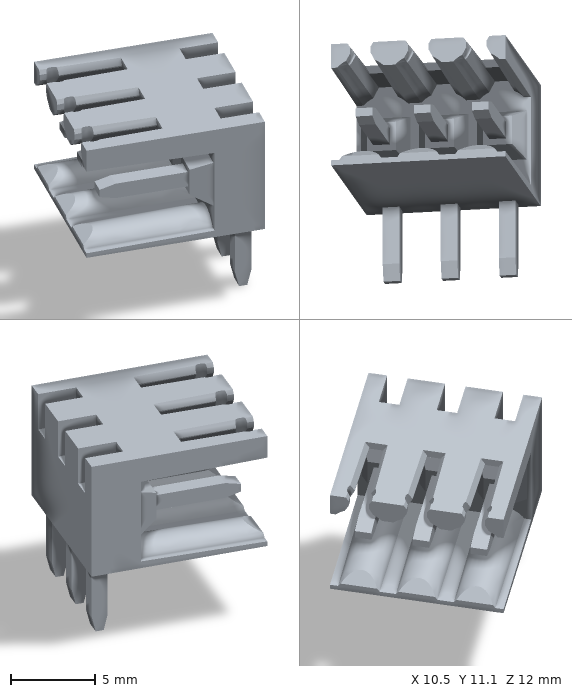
import cadquery as cq
import math


PIN_COUNT = 3
PITCH = 3.5
WIDTH = PIN_COUNT * PITCH
DEPTH = 11.05
HEIGHT = 7.46
OVERALL_HEIGHT = 11.95
PIN_CENTRES = [(i - (PIN_COUNT - 1) / 2) * PITCH for i in range(PIN_COUNT)]

DRAFT_ANGLE = 1
CAVITY_DEPTH = 7.95
CAVITY_FLOOR = 0.45
CAVITY_CEILING = 5.85
CAVITY_DRAFT = CAVITY_DEPTH * math.tan(math.radians(DRAFT_ANGLE))

CHANNEL_RADIUS = 1.83
CHANNEL_CENTRE_Z = 4.61
CHANNEL_BASE_Z = 5.38
SHOULDER_HALF_WIDTH = 0.75
CROWN_HALF_WIDTH = 0.41
CROWN_Z = 6.92

RIB_RADIUS = 1.61
RIB_TOP = 1.16
RIB_BASE_Z = 0.06
RIB_BEVEL_LENGTH = 0.88
RIB_BEVEL_FRONT_Z = 0.53

SLOT_LENGTH = 5.04
SLOT_TOP_HALF_WIDTH = 0.68
SLOT_THROAT_HALF_WIDTH = 0.43
SLOT_THROAT_Z = 7.05
SLOT_BOTTOM_Z = 6.81

MOUTH_WIDTH = 1.24
NOTCH_WIDTH = 1.72
NOTCH_BACK = 1.15
NOTCH_FRONT = 0.42
NOTCH_CORNER_RADIUS = 0.27

POCKET_WIDTH = 1.24
POCKET_LENGTH = 2.39
POCKET_DEPTH = 2.39

BOSS_BASE = 2.99
BOSS_TOP = 1.75
BOSS_LENGTH = 1.28

PIN_SIZE = 1.0
PIN_Z = 3.53
PIN_TIP_Y = 1.2
PIN_TIP_LENGTH = 1.0
PIN_TIP_SIZE = 0.5
LEG_Y = 10.1
LEG_LENGTH = OVERALL_HEIGHT - HEIGHT


def circle_height(radius, half_width):
    """Height above a circle's centre at a given distance from its middle line."""
    return math.sqrt(radius**2 - half_width**2)


def profile_facing_front(x, y):
    """Sketch plane at depth y whose normal points to the front and whose second axis is Z."""
    return cq.Workplane(cq.Plane(origin=(x, y, 0), xDir=(1, 0, 0), normal=(0, -1, 0)))


def make_cavity():
    front_floor = CAVITY_FLOOR - CAVITY_DRAFT
    front_ceiling = CAVITY_CEILING + CAVITY_DRAFT
    return (
        cq.Workplane("YZ")
        .polyline([
            (0, front_floor),
            (CAVITY_DEPTH, CAVITY_FLOOR),
            (CAVITY_DEPTH, CAVITY_CEILING),
            (0, front_ceiling),
        ])
        .close()
        .extrude(WIDTH / 2, both=True)
    )


def make_channel(x):
    def on_circle(half_width):
        return half_width, CHANNEL_CENTRE_Z + circle_height(CHANNEL_RADIUS, half_width)

    base_half_width = circle_height(CHANNEL_RADIUS, CHANNEL_BASE_Z - CHANNEL_CENTRE_Z)
    right_shoulder = on_circle(SHOULDER_HALF_WIDTH)
    right_middle = on_circle((SHOULDER_HALF_WIDTH + base_half_width) / 2)
    left_shoulder = on_circle(-SHOULDER_HALF_WIDTH)
    left_middle = on_circle(-(SHOULDER_HALF_WIDTH + base_half_width) / 2)
    return (
        profile_facing_front(x, CAVITY_DEPTH)
        .moveTo(-base_half_width, CHANNEL_BASE_Z)
        .lineTo(base_half_width, CHANNEL_BASE_Z)
        .threePointArc(right_middle, right_shoulder)
        .lineTo(CROWN_HALF_WIDTH, CROWN_Z)
        .lineTo(-CROWN_HALF_WIDTH, CROWN_Z)
        .lineTo(*left_shoulder)
        .threePointArc(left_middle, (-base_half_width, CHANNEL_BASE_Z))
        .close()
        .extrude(CAVITY_DEPTH, taper=-DRAFT_ANGLE)
    )


def make_rib(x):
    centre_z = RIB_TOP - RIB_RADIUS
    base_half_width = circle_height(RIB_RADIUS, RIB_BASE_Z - centre_z)
    middle = base_half_width / 2
    middle_z = centre_z + circle_height(RIB_RADIUS, middle)
    rib = (
        profile_facing_front(x, CAVITY_DEPTH)
        .moveTo(-base_half_width, RIB_BASE_Z)
        .lineTo(base_half_width, RIB_BASE_Z)
        .threePointArc((middle, middle_z), (0, RIB_TOP))
        .threePointArc((-middle, middle_z), (-base_half_width, RIB_BASE_Z))
        .close()
        .extrude(CAVITY_DEPTH, taper=DRAFT_ANGLE)
    )
    bevel_top = RIB_TOP - (CAVITY_DEPTH - RIB_BEVEL_LENGTH) * math.tan(math.radians(DRAFT_ANGLE))
    bevel = (
        cq.Workplane("YZ", origin=(x, 0, 0))
        .polyline([(0, RIB_BEVEL_FRONT_Z), (RIB_BEVEL_LENGTH, bevel_top), (0, bevel_top)])
        .close()
        .extrude(PITCH / 2, both=True)
    )
    return rib.cut(bevel)


def make_slot(x):
    rise = HEIGHT - SLOT_THROAT_Z
    flare = SLOT_TOP_HALF_WIDTH - SLOT_THROAT_HALF_WIDTH
    top_z = HEIGHT + rise
    top_half_width = SLOT_TOP_HALF_WIDTH + flare
    return (
        profile_facing_front(x, SLOT_LENGTH)
        .polyline([
            (-SLOT_THROAT_HALF_WIDTH, SLOT_BOTTOM_Z),
            (SLOT_THROAT_HALF_WIDTH, SLOT_BOTTOM_Z),
            (SLOT_THROAT_HALF_WIDTH, SLOT_THROAT_Z),
            (top_half_width, top_z),
            (-top_half_width, top_z),
            (-SLOT_THROAT_HALF_WIDTH, SLOT_THROAT_Z),
        ])
        .close()
        .extrude(SLOT_LENGTH, taper=-DRAFT_ANGLE)
    )


def make_notch(x):
    notch_length = NOTCH_BACK - NOTCH_FRONT
    height = HEIGHT - CAVITY_CEILING
    level = cq.Workplane("XY", origin=(x, 0, CAVITY_CEILING))
    notch = (
        level.center(0, (NOTCH_BACK + NOTCH_FRONT) / 2)
        .rect(NOTCH_WIDTH, notch_length)
        .extrude(height)
        .edges("|Z")
        .fillet(NOTCH_CORNER_RADIUS)
    )
    mouth_length = NOTCH_FRONT + notch_length / 2
    mouth = level.center(0, mouth_length / 2).rect(MOUTH_WIDTH, mouth_length).extrude(height)
    return notch.union(mouth)


def make_pocket(x):
    return cq.Workplane("XY").box(POCKET_WIDTH, POCKET_LENGTH, POCKET_DEPTH).translate(
        (x, DEPTH - POCKET_LENGTH / 2, HEIGHT - POCKET_DEPTH / 2)
    )


def make_boss(x):
    return (
        profile_facing_front(x, CAVITY_DEPTH)
        .center(0, PIN_Z)
        .rect(BOSS_BASE, BOSS_BASE)
        .workplane(offset=BOSS_LENGTH)
        .rect(BOSS_TOP, BOSS_TOP)
        .loft(ruled=True)
    )


def make_pin(x):
    half = PIN_SIZE / 2
    tip_half = PIN_TIP_SIZE / 2
    shoulder_y = PIN_TIP_Y + PIN_TIP_LENGTH
    shoulder_z = PIN_TIP_LENGTH - LEG_LENGTH
    return (
        cq.Workplane("YZ", origin=(x, 0, 0))
        .polyline([
            (PIN_TIP_Y, PIN_Z + tip_half),
            (shoulder_y, PIN_Z + half),
            (LEG_Y + half, PIN_Z + half),
            (LEG_Y + half, shoulder_z),
            (LEG_Y + tip_half, -LEG_LENGTH),
            (LEG_Y - tip_half, -LEG_LENGTH),
            (LEG_Y - half, shoulder_z),
            (LEG_Y - half, PIN_Z - half),
            (shoulder_y, PIN_Z - half),
            (PIN_TIP_Y, PIN_Z - tip_half),
        ])
        .close()
        .extrude(half, both=True)
    )


def make_housing(pins):
    housing = cq.Workplane("XY").box(WIDTH, DEPTH, HEIGHT).translate((0, DEPTH / 2, HEIGHT / 2))
    housing = housing.cut(make_cavity())
    for x, pin in zip(PIN_CENTRES, pins):
        housing = housing.cut(make_channel(x)).cut(make_slot(x)).cut(make_notch(x))
        housing = housing.cut(make_pocket(x))
        housing = housing.union(make_rib(x)).union(make_boss(x))
        housing = housing.cut(pin)
    return housing


pins = [make_pin(x) for x in PIN_CENTRES]
housing = make_housing(pins)

result = cq.Compound.makeCompound([housing.val(), *[pin.val() for pin in pins]])